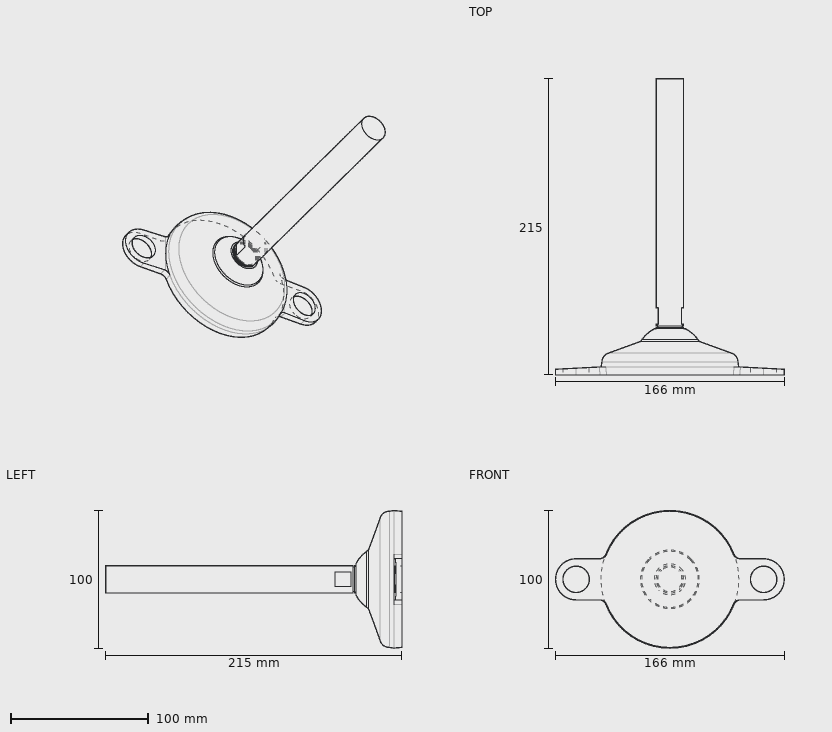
import cadquery as cq
import math


TOTAL_HEIGHT = 215.0

PARTING_RADIUS = 50.0
PARTING_HEIGHT = 6.0
SOLE_RADIUS = 49.4
SHOULDER_HEIGHT = 9.3
SHOULDER_RADIUS = 49.5
SHOULDER_ROUND = 7.0
CONE_ANGLE = 20.0
LIP_FOOT_RADIUS = 21.3
LIP_TOP_HEIGHT = 25.7

LUG_OFFSET = 68.0
LUG_RADIUS = 15.0
LUG_HOLE_DIAMETER = 19.0
LUG_FILLET = 5.0
LUG_SLOPE = 3.0

ROD_RADIUS = 10.0
FLATS_WIDTH = 17.0
FLATS_BOTTOM = 36.9
FLATS_TOP = 48.7
GROOVE_RADIUS = 9.0
GROOVE_TOP = 35.6
GROOVE_BOTTOM = 34.4
BALL_RADIUS = 25.0
BALL_CENTER_HEIGHT = 11.3
BALL_TOP_HEIGHT = 33.6


def ball_radius_at(height):
    return math.sqrt(BALL_RADIUS**2 - (height - BALL_CENTER_HEIGHT) ** 2)


def revolve_about_y(profile):
    return profile.close().revolve(360, (0, 0, 0), (0, 1, 0))


def make_lug(side):
    """Lug reaching from the axis to its rounded end; side is +1 or -1 along X."""
    arm = (
        cq.Workplane("XZ")
        .center(side * LUG_OFFSET / 2, 0)
        .rect(LUG_OFFSET, 2 * LUG_RADIUS)
        .extrude(-PARTING_HEIGHT)
    )
    end = (
        cq.Workplane("XZ")
        .center(side * LUG_OFFSET, 0)
        .circle(LUG_RADIUS)
        .extrude(-PARTING_HEIGHT)
    )
    return arm.union(end)


def make_lug_slope_cut(side):
    """Wedge that slopes the lug top down from the parting line to its tip."""
    tip = LUG_OFFSET + LUG_RADIUS
    drop = (tip - PARTING_RADIUS) * math.tan(math.radians(LUG_SLOPE))
    return (
        cq.Workplane("XY")
        .moveTo(side * PARTING_RADIUS, PARTING_HEIGHT)
        .lineTo(side * tip, PARTING_HEIGHT)
        .lineTo(side * tip, PARTING_HEIGHT - drop)
        .close()
        .extrude(LUG_RADIUS + LUG_FILLET, both=True)
    )


def make_skirt_with_lugs():
    skirt = revolve_about_y(
        cq.Workplane("XY")
        .lineTo(SOLE_RADIUS, 0)
        .lineTo(PARTING_RADIUS, PARTING_HEIGHT)
        .lineTo(0, PARTING_HEIGHT)
    )
    for side in (-1, 1):
        skirt = skirt.union(make_lug(side))

    corner_x = math.sqrt(PARTING_RADIUS**2 - LUG_RADIUS**2)
    margin = 2.0
    corners = cq.selectors.BoxSelector(
        (-corner_x - margin, margin, -LUG_RADIUS - margin),
        (corner_x + margin, PARTING_HEIGHT - margin, LUG_RADIUS + margin),
    )
    skirt = skirt.edges(corners).fillet(LUG_FILLET)

    for side in (-1, 1):
        hole = (
            cq.Workplane("XZ")
            .center(side * LUG_OFFSET, 0)
            .circle(LUG_HOLE_DIAMETER / 2)
            .extrude(-PARTING_HEIGHT)
        )
        skirt = skirt.cut(make_lug_slope_cut(side)).cut(hole)
    return skirt


def make_base():
    slope = math.radians(CONE_ANGLE)
    round_x = SHOULDER_RADIUS - SHOULDER_ROUND
    middle = math.radians((90 - CONE_ANGLE) / 2)

    def on_round(angle):
        return (
            round_x + SHOULDER_ROUND * math.cos(angle),
            SHOULDER_HEIGHT + SHOULDER_ROUND * math.sin(angle),
        )

    cone_start = on_round(math.pi / 2 - slope)
    lip_foot_height = cone_start[1] + (cone_start[0] - LIP_FOOT_RADIUS) * math.tan(slope)
    cover = revolve_about_y(
        cq.Workplane("XY")
        .moveTo(0, PARTING_HEIGHT)
        .lineTo(PARTING_RADIUS, PARTING_HEIGHT)
        .lineTo(SHOULDER_RADIUS, SHOULDER_HEIGHT)
        .threePointArc(on_round(middle), cone_start)
        .lineTo(LIP_FOOT_RADIUS, lip_foot_height)
        .lineTo(ball_radius_at(LIP_TOP_HEIGHT), LIP_TOP_HEIGHT)
        .lineTo(0, LIP_TOP_HEIGHT)
    )
    return make_skirt_with_lugs().union(cover)


def make_stud():
    ball_middle = (LIP_TOP_HEIGHT + BALL_TOP_HEIGHT) / 2
    stud = revolve_about_y(
        cq.Workplane("XY")
        .moveTo(0, LIP_TOP_HEIGHT)
        .lineTo(ball_radius_at(LIP_TOP_HEIGHT), LIP_TOP_HEIGHT)
        .threePointArc(
            (ball_radius_at(ball_middle), ball_middle),
            (ball_radius_at(BALL_TOP_HEIGHT), BALL_TOP_HEIGHT),
        )
        .lineTo(ROD_RADIUS, BALL_TOP_HEIGHT)
        .lineTo(ROD_RADIUS, GROOVE_BOTTOM)
        .lineTo(GROOVE_RADIUS, GROOVE_BOTTOM)
        .lineTo(GROOVE_RADIUS, GROOVE_TOP)
        .lineTo(ROD_RADIUS, GROOVE_TOP)
        .lineTo(ROD_RADIUS, TOTAL_HEIGHT)
        .lineTo(0, TOTAL_HEIGHT)
    )
    flat_depth = ROD_RADIUS - FLATS_WIDTH / 2
    for side in (-1, 1):
        flat = cq.Workplane("XY").box(flat_depth, FLATS_TOP - FLATS_BOTTOM, 2 * ROD_RADIUS)
        flat_x = side * (FLATS_WIDTH + flat_depth) / 2
        stud = stud.cut(flat.translate((flat_x, (FLATS_TOP + FLATS_BOTTOM) / 2, 0)))
    return stud


base = make_base()
stud = make_stud()

result = cq.Compound.makeCompound([base.solids().val(), stud.solids().val()])